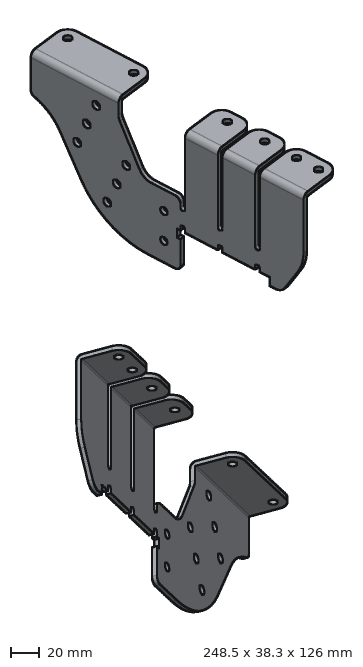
import cadquery as cq
import math


LENGTH = 248.5
DEPTH = 38.3
HEIGHT = 126.0
THICKNESS = 4.0
BEND_RADIUS = 5.0

LEFT_FLANGE_WIDTH = 80.0
TAB_WIDTH = 30.0
END_TAB_WIDTH = 40.0
SLOT_WIDTH = 4.0
FLANGE_CORNER_RADIUS = 10.0
FLANGE_HOLE_DIAMETER = 6.5
FLANGE_HOLE_MARGIN = 10.0

end_tab_start = LENGTH - END_TAB_WIDTH
middle_tab_start = end_tab_start - SLOT_WIDTH - TAB_WIDTH
first_tab_start = middle_tab_start - SLOT_WIDTH - TAB_WIDTH
tab_starts = [first_tab_start, middle_tab_start, end_tab_start]

SLOT_BOTTOM_Z = -71.0
NOTCH_TOP_Z = -84.5
STRIP_BOTTOM_Z = -89.7
STEP_Z = -97.5
BLOCK_TOP_Z = -60.7

SLOPE_ANGLE = 60
INNER_SLOPE_ANGLE = 62
BITE_ANGLE = 17
BITE_CORNER_X = 18.5
LEFT_EDGE_BOTTOM_Z = -37.5
LEFT_CORNER_RADIUS = 4.5
BITE_RADIUS = 40.0
BELLY_RADIUS = 70.0
BLOCK_CORNER_RADIUS = 5.0
INNER_CORNER_RADIUS = 12.0
NECK_RADIUS = 10.0
INNER_SLOPE_TOP_Z = -18.1
RELIEF_DEPTH = 3.2
END_STEP_X = 217.8
END_SLOPE_TOP_Z = -63.0
END_TOP_RADIUS = 40.0
END_BOTTOM_RADIUS = 10.0

ROW_HOLE_DIAMETER = 7.0
ROW_PITCH = 22.5
ROW_ANGLE = 67.5
ROW_HOLE_COUNT = 3
ROW_TOPS = [(59.7, -17.5), (87.0, -57.0)]
BLOCK_HOLE_DIAMETER = 6.5
BLOCK_HOLE_X = 121.3
BLOCK_HOLE_HEIGHTS = [-80.0, -106.6]


def slope(angle):
    return math.tan(math.radians(angle))


def rounded_outline(corners):
    """Closed XZ outline through (x, z, radius) corners, each rounded by a tangent arc."""
    stretches = []
    for i, (x, z, radius) in enumerate(corners):
        corner = cq.Vector(x, z)
        before = (cq.Vector(*corners[i - 1][:2]) - corner).normalized()
        after = (cq.Vector(*corners[(i + 1) % len(corners)][:2]) - corner).normalized()
        if radius == 0:
            stretches.append([corner])
            continue
        half_angle = before.getAngle(after) / 2
        tangent_length = radius / math.tan(half_angle)
        to_arc = radius / math.sin(half_angle) - radius
        middle = corner + (before + after).normalized() * to_arc
        stretches.append([corner + before * tangent_length, middle, corner + after * tangent_length])

    outline = cq.Workplane("XZ").moveTo(stretches[0][-1].x, stretches[0][-1].y)
    for stretch in stretches[1:] + stretches[:1]:
        outline = outline.lineTo(stretch[0].x, stretch[0].y)
        if len(stretch) > 1:
            outline = outline.threePointArc(stretch[1].toTuple()[:2], stretch[2].toTuple()[:2])
    return outline.close()


def upright_plate():
    """Flat plate below the bend."""
    block_right = first_tab_start - SLOT_WIDTH
    relief_x = block_right - RELIEF_DEPTH
    slot_end_z = SLOT_BOTTOM_Z + SLOT_WIDTH / 2
    bite_z = LEFT_EDGE_BOTTOM_Z - BITE_CORNER_X * slope(BITE_ANGLE)
    belly_x = BITE_CORNER_X + (HEIGHT + bite_z) / slope(SLOPE_ANGLE)
    inner_x = LEFT_FLANGE_WIDTH + (INNER_SLOPE_TOP_Z - BLOCK_TOP_Z) / slope(INNER_SLOPE_ANGLE)
    end_bottom_x = LENGTH - (END_SLOPE_TOP_Z - STEP_Z) / slope(SLOPE_ANGLE)
    corners = [
        (0, -BEND_RADIUS, 0),
        (0, LEFT_EDGE_BOTTOM_Z, LEFT_CORNER_RADIUS),
        (BITE_CORNER_X, bite_z, BITE_RADIUS),
        (belly_x, -HEIGHT, BELLY_RADIUS),
        (block_right, -HEIGHT, BLOCK_CORNER_RADIUS),
        (block_right, STEP_Z, 0),
        (relief_x, STEP_Z, 0),
        (relief_x, STRIP_BOTTOM_Z, 0),
        (END_STEP_X, STRIP_BOTTOM_Z, 0),
        (END_STEP_X, STEP_Z, 0),
        (end_bottom_x, STEP_Z, END_BOTTOM_RADIUS),
        (LENGTH, END_SLOPE_TOP_Z, END_TOP_RADIUS),
        (LENGTH, -BEND_RADIUS, 0),
        (first_tab_start, -BEND_RADIUS, 0),
        (first_tab_start, slot_end_z, 0),
        (block_right, slot_end_z, 0),
        (block_right, BLOCK_TOP_Z, BLOCK_CORNER_RADIUS),
        (inner_x, BLOCK_TOP_Z, INNER_CORNER_RADIUS),
        (LEFT_FLANGE_WIDTH, INNER_SLOPE_TOP_Z, NECK_RADIUS),
        (LEFT_FLANGE_WIDTH, -BEND_RADIUS, 0),
    ]
    return rounded_outline(corners).extrude(-THICKNESS)


def round_ended_cut(x, round_end_z, open_end_z):
    """Cutter of slot width, centred on x, from an open end to a round end."""
    radius = SLOT_WIDTH / 2
    direction = math.copysign(1, round_end_z - open_end_z)
    arc_z = round_end_z - direction * radius
    return (
        cq.Workplane("XZ")
        .moveTo(x - radius, open_end_z)
        .lineTo(x - radius, arc_z)
        .threePointArc((x, round_end_z), (x + radius, arc_z))
        .lineTo(x + radius, open_end_z)
        .close()
        .extrude(-THICKNESS)
    )


def plate_holes():
    """Two slanted rows of holes and a vertical pair in the block."""
    angle = math.radians(ROW_ANGLE)
    row_points = [
        (x - i * ROW_PITCH * math.cos(angle), z - i * ROW_PITCH * math.sin(angle))
        for x, z in ROW_TOPS
        for i in range(ROW_HOLE_COUNT)
    ]
    block_points = [(BLOCK_HOLE_X, z) for z in BLOCK_HOLE_HEIGHTS]
    plane = cq.Workplane("XZ")
    row_holes = plane.pushPoints(row_points).circle(ROW_HOLE_DIAMETER / 2).extrude(-THICKNESS)
    block_holes = plane.pushPoints(block_points).circle(BLOCK_HOLE_DIAMETER / 2).extrude(-THICKNESS)
    return row_holes.union(block_holes)


def flange(start_x, width, hole_offsets):
    """Bend and horizontal flange with rounded rear corners and holes along the rear edge."""
    inner_radius = BEND_RADIUS - THICKNESS
    diagonal = math.sqrt(0.5)
    outer_middle = BEND_RADIUS * (1 - diagonal)
    inner_middle = BEND_RADIUS - inner_radius * diagonal
    body = (
        cq.Workplane("YZ", origin=(start_x, 0, 0))
        .moveTo(0, -BEND_RADIUS)
        .threePointArc((outer_middle, -outer_middle), (BEND_RADIUS, 0))
        .lineTo(DEPTH, 0)
        .lineTo(DEPTH, -THICKNESS)
        .lineTo(BEND_RADIUS, -THICKNESS)
        .threePointArc((inner_middle, -inner_middle), (THICKNESS, -BEND_RADIUS))
        .close()
        .extrude(width)
        .faces(">Y").edges("|Z").fillet(FLANGE_CORNER_RADIUS)
    )
    hole_points = [(start_x + offset, DEPTH - FLANGE_HOLE_MARGIN) for offset in hole_offsets]
    holes = cq.Workplane("XY").pushPoints(hole_points).circle(FLANGE_HOLE_DIAMETER / 2).extrude(-THICKNESS)
    return body.cut(holes)


result = upright_plate().cut(plate_holes())
for tab_start in tab_starts:
    slot_x = tab_start - SLOT_WIDTH / 2
    result = result.cut(round_ended_cut(slot_x, SLOT_BOTTOM_Z, -BEND_RADIUS))
    result = result.cut(round_ended_cut(slot_x, NOTCH_TOP_Z, STRIP_BOTTOM_Z))

for start, width in [(0, LEFT_FLANGE_WIDTH), (end_tab_start, END_TAB_WIDTH)]:
    result = result.union(flange(start, width, [FLANGE_HOLE_MARGIN, width - FLANGE_HOLE_MARGIN]))
for start in [first_tab_start, middle_tab_start]:
    result = result.union(flange(start, TAB_WIDTH, [TAB_WIDTH / 2]))